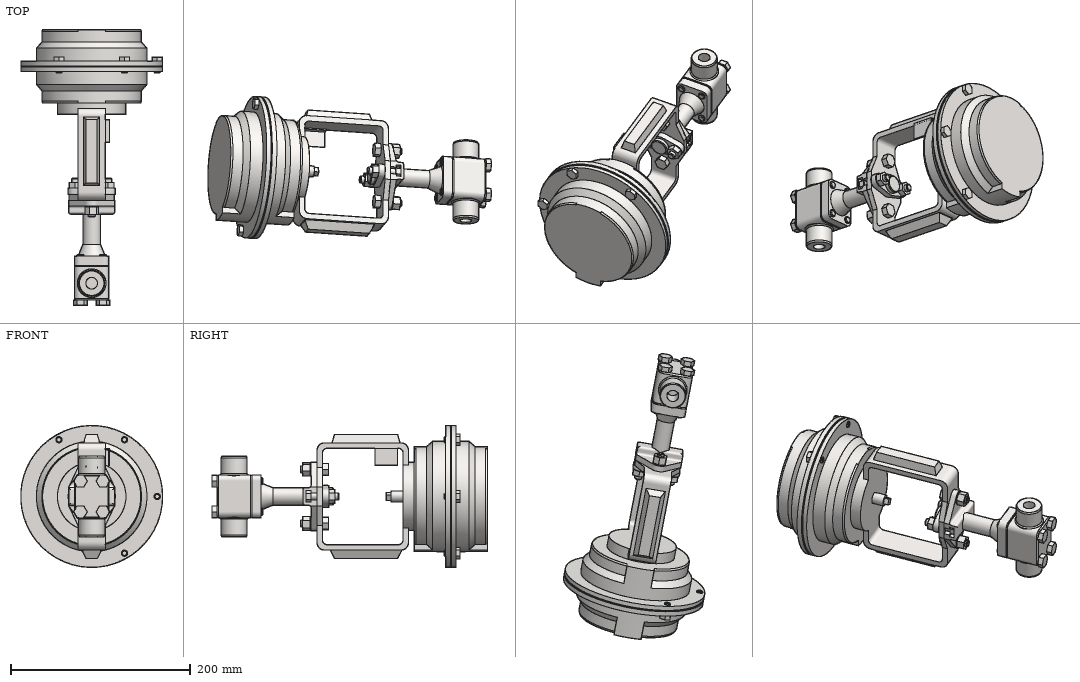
import cadquery as cq
import math


OVERALL_LENGTH = 308.17
VALVE_BOLT_END_Y = -24.8
BODY_FRONT_Y = -19.0
BODY_JOINT_Y = 18.4
JOINT_WIDTH = 1.6
BODY_BACK_Y = 30.3
NECK_CONE_Y = 43.5
CROSSBAR_FRONT_Y = 77.0
BONNET_PLATE_FRONT_Y = 86.0
YOKE_FRONT_Y = 92.6
YOKE_BACK_Y = 195.0
ACTUATOR_END_Y = VALVE_BOLT_END_Y + OVERALL_LENGTH

BODY_HALF_X = 19.25
BODY_HALF_Z = 24.0
BODY_CORNER_RADIUS = 6.6
BODY_EDGE_LENGTH = 1.9
BODY_EDGE_INSET = 1.2
JOINT_DEPTH = 0.3
PORT_RADIUS = 14.6
PORT_END_Z = 45.1
PORT_CHAMFER_HEIGHT = 1.9
PORT_CHAMFER_INSET = 0.9
PORT_COLLAR_RADIUS = 16.0
PORT_COLLAR_TOP_Z = 25.4
PORT_BORE_RADIUS = 6.5
PORT_BORE_DEPTH = 21.0
VALVE_BOLT_X = 12.65
VALVE_BOLT_Z = 17.2
VALVE_BOLT_CORNERS = 15.4
VALVE_STUD_RADIUS = 4.1
VALVE_STUD_TIP = 1.9

NECK_RADIUS = 9.9
NECK_CONE_RADIUS = 15.3
BONNET_HALF_X = 25.8
BONNET_EDGE_Z = 10.8
CROSSBAR_HALF_Z = NECK_RADIUS
CROSSBAR_FILLET = 2.8
BONNET_BOLT_Z = 30.2
BONNET_LUG_RADIUS = 8.2
BONNET_BOLT_RADIUS = 4.1
BONNET_BOLT_CORNERS = 15.4
BONNET_HEAD_HEIGHT = 6.7
BONNET_NUT_HEIGHT = 9.3
BONNET_NUT_WASHER = 1.0
BONNET_NUT_WASHER_RADIUS = 7.2
BONNET_NUT_CORNERS = 15.8
BONNET_BOLT_TIP = 2.7

GLAND_BOLT_X = 18.4
GLAND_LUG_RADIUS = 8.2
GLAND_HUB_RADIUS = 12.6
GLAND_THICKNESS = 7.2
GLAND_EDGE_LENGTH = 1.8
GLAND_EDGE_INSET = 0.3
GLAND_BUSH_RADIUS = 9.8
GLAND_BUSH_HEIGHT = 5.0
GLAND_BUSH_CHAMFER = 1.0
GLAND_BOLT_RADIUS = 4.1
GLAND_HEAD_CORNERS = 12.8
GLAND_HEAD_HEIGHT = 5.5
GLAND_NUT_CORNERS = 15.6
GLAND_NUT_HEIGHT = 6.6
GLAND_BOLT_TIP = 4.7

YOKE_THICKNESS = 6.3
YOKE_HALF_X = 15.4
YOKE_HALF_Z = 60.0
YOKE_OUTER_RADIUS = 8.6
YOKE_INNER_RADIUS = 5.0
YOKE_WING_START_Z = 32.2
YOKE_WING_HALF_X = 25.4
RIB_HEIGHT = 9.4
RIB_TOP_HALF_X = 6.2
RIB_FRONT_Y = 112.2
RIB_BACK_Y = 182.8
UPPER_RIB_SPREAD = 2.8
LOWER_RIB_SPREAD = 4.8

TAG_FRONT_Y = 157.4
TAG_BACK_Y = 182.8
TAG_OUTER_X = 20.1
TAG_THICKNESS = 1.4
TAG_BOTTOM_Z = 34.8
TAG_TAB_OVERLAP = 4.0

FLANGE_RADIUS = 158.75 / 2
FLANGE_WIDTH = 11.7
FLANGE_SEAM_WIDTH = 1.2
FLANGE_SEAM_DEPTH = 1.0
CASE_RADIUS = 61.8
CASE_END_RADIUS = 55.7
CASE_LENGTH = 82.3
CASE_MIDDLE_LENGTH = 40.5
CASE_CONE_LENGTH = 7.0
CASE_CHAMFER_LENGTH = 2.2
CASE_CHAMFER_INSET = 0.9
HUB_RADIUS = 38.3
STEM_RADIUS = 6.3
STEM_LENGTH = 13.4
STEM_CHAMFER_LENGTH = 2.3
STEM_CHAMFER_INSET = 0.25
STEM_TIP_LENGTH = 5.4
STEM_TIP_SIDES = 4
STEM_TIP_DIAGONAL = 9.7
STEM_TIP_TURN = 17.0
FLANGE_BOLT_CIRCLE_RADIUS = 73.2
FLANGE_BOLT_ANGLES = (-60, 0, 60, 120)
FLANGE_BOLT_CORNERS = 13.3
FLANGE_BOLT_HEAD = 4.6
FLANGE_BOLT_TIP = 1.7
FLANGE_BOLT_TIP_RADIUS = 3.5

HEX_SIDES = 6
FULL_TURN = 360
CORNER_UP = 90
TIP_CHAMFER = 1.0

YOKE_INNER_FRONT_Y = YOKE_FRONT_Y + YOKE_THICKNESS
YOKE_INNER_BACK_Y = YOKE_BACK_Y - YOKE_THICKNESS
YOKE_INNER_Z = YOKE_HALF_Z - YOKE_THICKNESS
CASE_MIDDLE_Y = ACTUATOR_END_Y - CASE_LENGTH / 2
CASE_FRONT_Y = ACTUATOR_END_Y - CASE_LENGTH
GLAND_BACK_Y = YOKE_INNER_FRONT_Y + GLAND_THICKNESS


def section_at(y):
    """Sketch plane parallel to XZ at the given Y; a negative extrusion runs toward +Y."""
    return cq.Workplane("XZ", origin=(0, y, 0))


def revolved(profile):
    """Turn a closed (radius, y) outline around the Y axis."""
    return cq.Workplane("XY").polyline(profile).close().revolve(FULL_TURN, (0, 0, 0), (0, 1, 0))


def box(x_range, y_range, z_range):
    """Axis-aligned block between pairs of limits."""
    size = [high - low for low, high in (x_range, y_range, z_range)]
    corner = (x_range[0], y_range[0], z_range[0])
    return cq.Workplane("XY").box(*size, centered=False).translate(corner)


def rod(x, z, radius, y_start, y_end):
    """Round bar along Y."""
    return section_at(y_start).center(x, z).circle(radius).extrude(y_start - y_end)


def tipped_rod(x, z, radius, y_start, y_end):
    """Round bar along Y, chamfered at y_end."""
    tip_face = "<Y" if y_end < y_start else ">Y"
    return rod(x, z, radius, y_start, y_end).faces(tip_face).chamfer(TIP_CHAMFER)


def prism(x, z, sides, corners, y_start, y_end, turn=0):
    """Regular prism along Y with its first corner `turn` degrees from +X toward +Z."""
    shape = section_at(y_start).polygon(sides, corners).extrude(y_start - y_end)
    return shape.rotate((0, 0, 0), (0, 1, 0), -turn).translate((x, 0, z))


def fused(parts):
    """Join a list of overlapping or touching parts."""
    whole = parts[0]
    for part in parts[1:]:
        whole = whole.union(part)
    return whole


def body_block(y_start, y_end, inset=0.0):
    """Length of the valve body's rounded rectangular section."""
    return (
        section_at(y_start)
        .rect(2 * (BODY_HALF_X - inset), 2 * (BODY_HALF_Z - inset))
        .extrude(y_start - y_end)
        .edges("|Y")
        .fillet(BODY_CORNER_RADIUS - inset)
    )


def make_valve_body():
    """Body block with its gasket joint, two round ports and four through bolts."""
    joint_back_y = BODY_JOINT_Y + JOINT_WIDTH
    block = body_block(BODY_FRONT_Y, BODY_JOINT_Y)
    block = block.faces("<Y").chamfer(BODY_EDGE_LENGTH, BODY_EDGE_INSET)
    joint = body_block(BODY_JOINT_Y, joint_back_y, JOINT_DEPTH)
    cover = body_block(joint_back_y, BODY_BACK_Y)
    port = (
        cq.Workplane("XZ")
        .polyline([
            (0, -PORT_END_Z),
            (PORT_RADIUS - PORT_CHAMFER_INSET, -PORT_END_Z),
            (PORT_RADIUS, PORT_CHAMFER_HEIGHT - PORT_END_Z),
            (PORT_RADIUS, -PORT_COLLAR_TOP_Z),
            (PORT_COLLAR_RADIUS, -BODY_HALF_Z),
            (PORT_COLLAR_RADIUS, BODY_HALF_Z),
            (PORT_RADIUS, PORT_COLLAR_TOP_Z),
            (PORT_RADIUS, PORT_END_Z - PORT_CHAMFER_HEIGHT),
            (PORT_RADIUS - PORT_CHAMFER_INSET, PORT_END_Z),
            (0, PORT_END_Z),
        ])
        .close()
        .revolve(FULL_TURN, (0, 0, 0), (0, 1, 0))
    )
    valve = fused([block, joint, cover, port])
    for port_face in ("<Z", ">Z"):
        face = valve.faces(port_face).workplane(centerOption="CenterOfMass")
        valve = face.hole(2 * PORT_BORE_RADIUS, PORT_BORE_DEPTH)
    for x in (-VALVE_BOLT_X, VALVE_BOLT_X):
        for z in (-VALVE_BOLT_Z, VALVE_BOLT_Z):
            head = prism(x, z, HEX_SIDES, VALVE_BOLT_CORNERS, BODY_FRONT_Y, VALVE_BOLT_END_Y)
            tip_y = BODY_BACK_Y + VALVE_STUD_TIP
            stud = tipped_rod(x, z, VALVE_STUD_RADIUS, BODY_BACK_Y, tip_y)
            valve = valve.union(head).union(stud)
    return valve


def bonnet_outline(y_start, y_end):
    """Diamond prism: round lugs at top and bottom, flat ends at +X and -X."""
    reach_x = BONNET_HALF_X
    reach_z = BONNET_BOLT_Z - BONNET_EDGE_Z
    reach = math.hypot(reach_x, reach_z)
    angle = math.acos(BONNET_LUG_RADIUS / reach) - math.atan2(reach_z, reach_x)
    tangent_x = BONNET_LUG_RADIUS * math.cos(angle)
    tangent_z = BONNET_BOLT_Z + BONNET_LUG_RADIUS * math.sin(angle)
    lug_z = BONNET_BOLT_Z + BONNET_LUG_RADIUS
    return (
        section_at(y_start)
        .moveTo(BONNET_HALF_X, -BONNET_EDGE_Z)
        .lineTo(BONNET_HALF_X, BONNET_EDGE_Z)
        .lineTo(tangent_x, tangent_z)
        .threePointArc((0, lug_z), (-tangent_x, tangent_z))
        .lineTo(-BONNET_HALF_X, BONNET_EDGE_Z)
        .lineTo(-BONNET_HALF_X, -BONNET_EDGE_Z)
        .lineTo(-tangent_x, -tangent_z)
        .threePointArc((0, -lug_z), (tangent_x, -tangent_z))
        .close()
        .extrude(y_start - y_end)
    )


def make_crossbar():
    """Bar across the bonnet plate, blended into it and rounded along its front edges."""
    blend = CROSSBAR_FILLET
    blend_middle = blend * (1 - math.sqrt(0.5))
    foot_z = CROSSBAR_HALF_Z + blend
    foot_middle = (BONNET_PLATE_FRONT_Y - blend_middle, CROSSBAR_HALF_Z + blend_middle)
    bar = (
        cq.Workplane("YZ", origin=(-BONNET_HALF_X, 0, 0))
        .moveTo(YOKE_FRONT_Y, -foot_z)
        .lineTo(YOKE_FRONT_Y, foot_z)
        .lineTo(BONNET_PLATE_FRONT_Y, foot_z)
        .threePointArc(foot_middle, (BONNET_PLATE_FRONT_Y - blend, CROSSBAR_HALF_Z))
        .lineTo(CROSSBAR_FRONT_Y, CROSSBAR_HALF_Z)
        .lineTo(CROSSBAR_FRONT_Y, -CROSSBAR_HALF_Z)
        .lineTo(BONNET_PLATE_FRONT_Y - blend, -CROSSBAR_HALF_Z)
        .threePointArc((foot_middle[0], -foot_middle[1]), (BONNET_PLATE_FRONT_Y, -foot_z))
        .close()
        .extrude(2 * BONNET_HALF_X)
    )
    bar = bar.faces("<Y").edges().fillet(CROSSBAR_FILLET)
    return bar.intersect(bonnet_outline(CROSSBAR_FRONT_Y, YOKE_FRONT_Y))


def cut_t_slots(bonnet):
    """Cut a T-slot in from each end of the crossbar for the packing bolt heads."""
    head_radius = GLAND_HEAD_CORNERS / 2
    slot_length = BONNET_HALF_X - GLAND_BOLT_X + head_radius
    head_y = (BONNET_PLATE_FRONT_Y - GLAND_HEAD_HEIGHT, BONNET_PLATE_FRONT_Y)
    shank_y = (BONNET_PLATE_FRONT_Y, YOKE_FRONT_Y)
    for x_range in (
        (-BONNET_HALF_X, slot_length - BONNET_HALF_X),
        (BONNET_HALF_X - slot_length, BONNET_HALF_X),
    ):
        bonnet = bonnet.cut(box(x_range, head_y, (-head_radius, head_radius)))
        bonnet = bonnet.cut(box(x_range, shank_y, (-GLAND_BOLT_RADIUS, GLAND_BOLT_RADIUS)))
    return bonnet


def make_bonnet():
    """Neck and cone rising from the valve body to the plate bolted on the yoke."""
    neck = revolved([
        (0, BODY_BACK_Y),
        (NECK_CONE_RADIUS, BODY_BACK_Y),
        (NECK_RADIUS, NECK_CONE_Y),
        (NECK_RADIUS, BONNET_PLATE_FRONT_Y),
        (0, BONNET_PLATE_FRONT_Y),
    ])
    plate = bonnet_outline(BONNET_PLATE_FRONT_Y, YOKE_FRONT_Y)
    return cut_t_slots(fused([plate, make_crossbar(), neck]))


def make_bonnet_bolt(z, head_turn, nut_turn):
    """Bolt through yoke and bonnet plate: head inside the yoke, nut on the valve side."""
    nut_washer_y = BONNET_PLATE_FRONT_Y - BONNET_NUT_WASHER
    nut_end_y = BONNET_PLATE_FRONT_Y - BONNET_NUT_HEIGHT
    head_end_y = YOKE_INNER_FRONT_Y + BONNET_HEAD_HEIGHT
    return fused([
        prism(0, z, HEX_SIDES, BONNET_BOLT_CORNERS, YOKE_INNER_FRONT_Y, head_end_y, head_turn),
        rod(0, z, BONNET_NUT_WASHER_RADIUS, BONNET_PLATE_FRONT_Y, nut_washer_y),
        prism(0, z, HEX_SIDES, BONNET_NUT_CORNERS, nut_washer_y, nut_end_y, nut_turn),
        tipped_rod(0, z, BONNET_BOLT_RADIUS, nut_end_y, nut_end_y - BONNET_BOLT_TIP),
    ])


def make_gland():
    """Packing flange: round hub tangent to two bolt lugs, with the packing bush behind it."""
    slope = math.asin((GLAND_HUB_RADIUS - GLAND_LUG_RADIUS) / GLAND_BOLT_X)
    hub_x = GLAND_HUB_RADIUS * math.sin(slope)
    hub_z = GLAND_HUB_RADIUS * math.cos(slope)
    lug_x = GLAND_BOLT_X + GLAND_LUG_RADIUS * math.sin(slope)
    lug_z = GLAND_LUG_RADIUS * math.cos(slope)
    lug_end = GLAND_BOLT_X + GLAND_LUG_RADIUS
    flange = (
        section_at(YOKE_INNER_FRONT_Y)
        .moveTo(hub_x, hub_z)
        .lineTo(lug_x, lug_z)
        .threePointArc((lug_end, 0), (lug_x, -lug_z))
        .lineTo(hub_x, -hub_z)
        .threePointArc((0, -GLAND_HUB_RADIUS), (-hub_x, -hub_z))
        .lineTo(-lug_x, -lug_z)
        .threePointArc((-lug_end, 0), (-lug_x, lug_z))
        .lineTo(-hub_x, hub_z)
        .threePointArc((0, GLAND_HUB_RADIUS), (hub_x, hub_z))
        .close()
        .extrude(-GLAND_THICKNESS)
    )
    flange = flange.faces("<Y").chamfer(GLAND_EDGE_LENGTH, GLAND_EDGE_INSET)
    flange = flange.faces(">Y").chamfer(GLAND_EDGE_LENGTH, GLAND_EDGE_INSET)
    bush = rod(0, 0, GLAND_BUSH_RADIUS, GLAND_BACK_Y, GLAND_BACK_Y + GLAND_BUSH_HEIGHT)
    return flange.union(bush.faces(">Y").chamfer(GLAND_BUSH_CHAMFER))


def make_gland_bolt(x):
    """Bolt with its head held in the crossbar T-slot and its nut on the packing flange."""
    nut_end_y = GLAND_BACK_Y + GLAND_NUT_HEIGHT
    head_front_y = BONNET_PLATE_FRONT_Y - GLAND_HEAD_HEIGHT
    return fused([
        prism(x, 0, HEX_SIDES, GLAND_HEAD_CORNERS, BONNET_PLATE_FRONT_Y, head_front_y, CORNER_UP),
        tipped_rod(x, 0, GLAND_BOLT_RADIUS, BONNET_PLATE_FRONT_Y, nut_end_y + GLAND_BOLT_TIP),
        prism(x, 0, HEX_SIDES, GLAND_NUT_CORNERS, GLAND_BACK_Y, nut_end_y, CORNER_UP),
    ])


def make_yoke():
    """Rectangular strap frame, widened into wings where the bonnet bolts on."""
    strap = box(
        (-YOKE_HALF_X, YOKE_HALF_X),
        (YOKE_FRONT_Y, YOKE_BACK_Y),
        (-YOKE_HALF_Z, YOKE_HALF_Z),
    )
    window = box(
        (-YOKE_HALF_X, YOKE_HALF_X),
        (YOKE_INNER_FRONT_Y, YOKE_INNER_BACK_Y),
        (-YOKE_INNER_Z, YOKE_INNER_Z),
    )
    strap = strap.edges("|X").fillet(YOKE_OUTER_RADIUS)
    window = window.edges("|X").fillet(YOKE_INNER_RADIUS)
    wings = (
        section_at(YOKE_FRONT_Y)
        .polyline([
            (YOKE_HALF_X, YOKE_WING_START_Z),
            (YOKE_WING_HALF_X, BONNET_EDGE_Z),
            (YOKE_WING_HALF_X, -BONNET_EDGE_Z),
            (YOKE_HALF_X, -YOKE_WING_START_Z),
            (-YOKE_HALF_X, -YOKE_WING_START_Z),
            (-YOKE_WING_HALF_X, -BONNET_EDGE_Z),
            (-YOKE_WING_HALF_X, BONNET_EDGE_Z),
            (-YOKE_HALF_X, YOKE_WING_START_Z),
        ])
        .close()
        .extrude(-YOKE_THICKNESS)
    )
    return strap.cut(window).union(wings)


def make_rib(direction, spread):
    """Tapered stiffening rib on the outside of one yoke arm, pointing to +Z or -Z."""
    middle_y = (RIB_FRONT_Y + RIB_BACK_Y) / 2
    length = RIB_BACK_Y - RIB_FRONT_Y
    base_z = direction * YOKE_HALF_Z
    return (
        cq.Workplane("XY", origin=(0, middle_y, base_z))
        .rect(2 * (RIB_TOP_HALF_X + spread), length + 2 * spread)
        .workplane(offset=direction * RIB_HEIGHT)
        .rect(2 * RIB_TOP_HALF_X, length)
        .loft(combine=True)
    )


def make_tag():
    """Angle plate: a tab under the upper yoke arm with a leaf hanging beside it."""
    y_range = (TAG_FRONT_Y, TAG_BACK_Y)
    tab_x = (YOKE_HALF_X - TAG_TAB_OVERLAP, TAG_OUTER_X)
    tab = box(tab_x, y_range, (YOKE_INNER_Z - TAG_THICKNESS, YOKE_INNER_Z))
    leaf_x = (TAG_OUTER_X - TAG_THICKNESS, TAG_OUTER_X)
    return tab.union(box(leaf_x, y_range, (TAG_BOTTOM_Z, YOKE_INNER_Z)))


def make_case_strip(z_range, radius):
    """Full-length strip of the case, as wide as the yoke and rounded to the given radius."""
    strip = box((-YOKE_HALF_X, YOKE_HALF_X), (CASE_FRONT_Y, ACTUATOR_END_Y), z_range)
    return strip.intersect(rod(0, 0, radius, CASE_FRONT_Y, ACTUATOR_END_Y))


def make_case():
    """Diaphragm case: mirrored stepped halves clamped at a split flange."""
    middle_half = CASE_MIDDLE_LENGTH / 2
    seam_half = FLANGE_SEAM_WIDTH / 2
    half_profile = [
        (FLANGE_RADIUS - FLANGE_SEAM_DEPTH, seam_half),
        (FLANGE_RADIUS, seam_half),
        (FLANGE_RADIUS, FLANGE_WIDTH / 2),
        (CASE_RADIUS, FLANGE_WIDTH / 2),
        (CASE_RADIUS, middle_half),
        (CASE_END_RADIUS, middle_half + CASE_CONE_LENGTH),
        (CASE_END_RADIUS, CASE_LENGTH / 2 - CASE_CHAMFER_LENGTH),
        (CASE_END_RADIUS - CASE_CHAMFER_INSET, CASE_LENGTH / 2),
        (0, CASE_LENGTH / 2),
    ]
    back = [(radius, CASE_MIDDLE_Y + offset) for radius, offset in half_profile]
    front = [(radius, CASE_MIDDLE_Y - offset) for radius, offset in reversed(half_profile)]
    case = revolved(front + back)

    top_z = (0, CASE_RADIUS)
    bottom_z = (-CASE_RADIUS, 0)
    return fused([case, make_case_strip(top_z, CASE_END_RADIUS), make_case_strip(bottom_z, CASE_RADIUS)])


def make_flange_bolt(angle):
    """Hex-head bolt through the case flange."""
    x = FLANGE_BOLT_CIRCLE_RADIUS * math.cos(math.radians(angle))
    z = FLANGE_BOLT_CIRCLE_RADIUS * math.sin(math.radians(angle))
    back_y = CASE_MIDDLE_Y + FLANGE_WIDTH / 2
    front_y = CASE_MIDDLE_Y - FLANGE_WIDTH / 2
    head = prism(x, z, HEX_SIDES, FLANGE_BOLT_CORNERS, back_y, back_y + FLANGE_BOLT_HEAD, CORNER_UP)
    tip = tipped_rod(x, z, FLANGE_BOLT_TIP_RADIUS, back_y, front_y - FLANGE_BOLT_TIP)
    return head.union(tip)


def make_stem():
    """Mounting hub and the actuator stem with its square end."""
    hub = rod(0, 0, HUB_RADIUS, CASE_FRONT_Y, YOKE_INNER_BACK_Y)
    stem_end_y = YOKE_INNER_BACK_Y - STEM_LENGTH
    stem = rod(0, 0, STEM_RADIUS, YOKE_INNER_BACK_Y, stem_end_y)
    stem = stem.faces("<Y").chamfer(STEM_CHAMFER_LENGTH, STEM_CHAMFER_INSET)
    tip_end_y = stem_end_y - STEM_TIP_LENGTH
    tip = prism(0, 0, STEM_TIP_SIDES, STEM_TIP_DIAGONAL, stem_end_y, tip_end_y, STEM_TIP_TURN)
    return fused([hub, stem, tip])


flange_bolts = [make_flange_bolt(angle) for angle in FLANGE_BOLT_ANGLES]
actuator = fused([make_case(), make_stem()] + flange_bolts)

yoke = fused([
    make_yoke(),
    make_rib(1, UPPER_RIB_SPREAD),
    make_rib(-1, LOWER_RIB_SPREAD),
    make_tag(),
])

bonnet = fused([
    make_bonnet(),
    make_bonnet_bolt(BONNET_BOLT_Z, head_turn=0, nut_turn=-14),
    make_bonnet_bolt(-BONNET_BOLT_Z, head_turn=6, nut_turn=23),
    make_gland(),
    make_gland_bolt(-GLAND_BOLT_X),
    make_gland_bolt(GLAND_BOLT_X),
])

result = fused([yoke, actuator, bonnet, make_valve_body()])